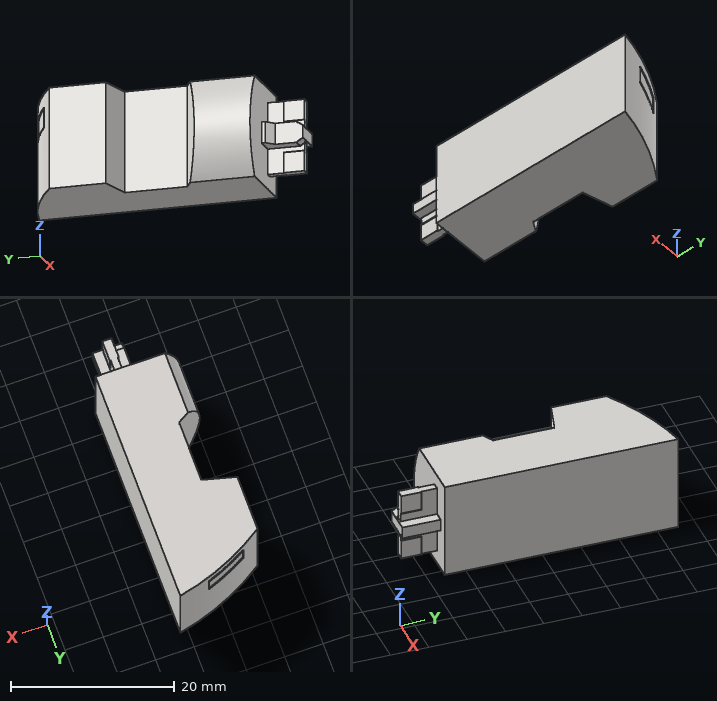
import cadquery as cq
import math

height = 13.0
width = 11.9
body_length = 30.5
end_arc_radius = 31.95
shoulder_y = 25.45

notch_x = -7.6
notch_upper_y = 18.25
notch_upper_floor_y = 17.1
notch_lower_floor_y = 9.12
notch_lower_angle = 30.0

bulge_apex_x = -11.0
bulge_edge_x = -9.05

recess_depth = 0.1
recess_upper_y = 29.35
recess_lower_y = 26.95
recess_bottom_z = 2.2
recess_top_z = 4.75

key_length = 5.0
key_right_x = -1.42
key_left_x = -5.25
key_height = 2.7
key_tip_height = 1.6
key_tip_taper = 0.85
key_root_step = 1.0
key_root_length = 0.45

blade_x = -3.2
blade_length = 4.72
blade_height = 9.23
blade_thickness = 0.95
pad_thickness = 1.2
pad_start = 2.05
pad_inner_z = 2.0


def box(x_min, x_max, y_min, y_max, z_min, z_max):
    """Box between the given limits."""
    size = (x_max - x_min, y_max - y_min, z_max - z_min)
    return cq.Workplane("XY").box(*size, centered=False).translate((x_min, y_min, z_min))


def end_arc_center():
    """Centre of the arc through both corners of the curved end."""
    drop = body_length - shoulder_y
    chord = math.hypot(width, drop)
    reach = math.sqrt(end_arc_radius**2 - (chord / 2)**2)
    x = -width / 2 + reach * drop / chord
    y = (body_length + shoulder_y) / 2 - reach * width / chord
    return x, y


def make_body():
    front_edge_y = notch_lower_floor_y - (notch_x + width) * math.tan(math.radians(notch_lower_angle))
    profile = (
        cq.Workplane("XY")
        .moveTo(0, 0)
        .lineTo(0, body_length)
        .radiusArc((-width, shoulder_y), -end_arc_radius)
        .lineTo(-width, notch_upper_y)
        .lineTo(notch_x, notch_upper_floor_y)
        .lineTo(notch_x, notch_lower_floor_y)
        .lineTo(-width, front_edge_y)
        .lineTo(-width, 0)
        .close()
    )
    return profile.extrude(height / 2, both=True)


def make_bulge_cutter():
    """Material outside the convex side, along the front portion only."""
    cutter_length = (notch_lower_floor_y + notch_upper_floor_y) / 2
    return (
        cq.Workplane("XZ")
        .moveTo(-width, -height / 2)
        .lineTo(bulge_edge_x, -height / 2)
        .threePointArc((bulge_apex_x, 0), (bulge_edge_x, height / 2))
        .lineTo(-width, height / 2)
        .close()
        .extrude(-cutter_length)
    )


def make_recess_cutter():
    """Sector of the curved end with walls square to the curve."""
    center_x, center_y = end_arc_center()

    def arc_point(radius, angle):
        return center_x + radius * math.cos(angle), center_y + radius * math.sin(angle)

    start = math.pi - math.asin((recess_upper_y - center_y) / end_arc_radius)
    end = math.pi - math.asin((recess_lower_y - center_y) / end_arc_radius)
    middle = (start + end) / 2
    inner = end_arc_radius - recess_depth
    outer = end_arc_radius + recess_depth
    return (
        cq.Workplane("XY", origin=(0, 0, recess_bottom_z))
        .moveTo(*arc_point(inner, start))
        .threePointArc(arc_point(inner, middle), arc_point(inner, end))
        .lineTo(*arc_point(outer, end))
        .threePointArc(arc_point(outer, middle), arc_point(outer, start))
        .close()
        .extrude(recess_top_z - recess_bottom_z)
    )


def make_key():
    """Wide tapered part left of the blade, thin bar to its right."""
    root_left_x = key_left_x - key_root_step
    wide_right_x = blade_x - blade_thickness / 2
    plan = (
        cq.Workplane("XY")
        .moveTo(wide_right_x, 0)
        .lineTo(wide_right_x, -key_length)
        .lineTo(key_left_x, -key_length)
        .lineTo(key_left_x, -key_root_length - key_root_step)
        .lineTo(root_left_x, -key_root_length)
        .lineTo(root_left_x, 0)
        .close()
        .extrude(key_height / 2, both=True)
    )
    taper_start = -key_length + key_tip_taper
    side = (
        cq.Workplane("YZ", origin=(root_left_x, 0, 0))
        .polyline([
            (0, -key_height / 2),
            (taper_start, -key_height / 2),
            (-key_length, -key_tip_height / 2),
            (-key_length, key_tip_height / 2),
            (taper_start, key_height / 2),
            (0, key_height / 2),
        ])
        .close()
        .extrude(wide_right_x - root_left_x)
    )
    half_tip = key_tip_height / 2
    thin_part = box(wide_right_x, key_right_x, -key_length, 0, -half_tip, half_tip)
    return plan.intersect(side).union(thin_part)


def make_blade():
    half_web = blade_thickness / 2
    half_pad = pad_thickness / 2
    top = blade_height / 2
    blade = box(blade_x - half_web, blade_x + half_web, -blade_length, 0, -top, top)
    for z_min, z_max in ((-top, -pad_inner_z), (pad_inner_z, top)):
        pad = box(blade_x - half_pad, blade_x + half_pad, -blade_length, -pad_start, z_min, z_max)
        blade = blade.union(pad)
    return blade


body = make_body().cut(make_bulge_cutter()).cut(make_recess_cutter())
result = body.union(make_key()).union(make_blade())